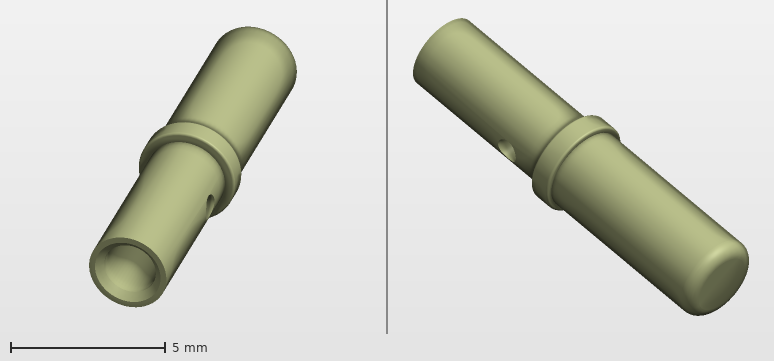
import cadquery as cq
import math

TOTAL_LENGTH = 13.36
FRONT_Y = -TOTAL_LENGTH / 2
SLEEVE_DIAMETER = 2.65
SLEEVE_LENGTH = 6.0
COLLAR_DIAMETER = 3.3
COLLAR_LENGTH = 0.76
COLLAR_EDGE_RADIUS = 0.08
BARREL_DIAMETER = 2.89
BARREL_TIP_RADIUS = 0.43
BORE_DIAMETER = 1.76
BORE_DEPTH = 5.5
DRILL_POINT_ANGLE = 118.0
MOUTH_DIAMETER = 2.25
MOUTH_DEPTH = (MOUTH_DIAMETER - BORE_DIAMETER) / 2
INSPECTION_HOLE_DIAMETER = 0.85
INSPECTION_HOLE_SETBACK = 4.5


def cylinder(diameter, start, length):
    """Solid cylinder along +Y, starting this far behind the wire entry face."""
    base = cq.Workplane("XZ", origin=(0, FRONT_Y + start, 0))
    return base.circle(diameter / 2).extrude(-length)


def make_body():
    """Sleeve, collar and round-tipped barrel in a row."""
    barrel_start = SLEEVE_LENGTH + COLLAR_LENGTH
    sleeve = cylinder(SLEEVE_DIAMETER, 0, SLEEVE_LENGTH)
    collar = cylinder(COLLAR_DIAMETER, SLEEVE_LENGTH, COLLAR_LENGTH)
    collar = collar.edges("%CIRCLE").fillet(COLLAR_EDGE_RADIUS)
    barrel = cylinder(BARREL_DIAMETER, barrel_start, TOTAL_LENGTH - barrel_start)
    barrel = barrel.faces(">Y").edges().fillet(BARREL_TIP_RADIUS)
    return sleeve.union(collar).union(barrel)


def make_wire_bore():
    """Blind bore with a flared mouth and a conical drill-point bottom."""
    bore_radius = BORE_DIAMETER / 2
    bore_end = FRONT_Y + BORE_DEPTH
    point_depth = bore_radius / math.tan(math.radians(DRILL_POINT_ANGLE / 2))
    half_section = (
        cq.Workplane("XY")
        .moveTo(0, FRONT_Y)
        .lineTo(MOUTH_DIAMETER / 2, FRONT_Y)
        .lineTo(bore_radius, FRONT_Y + MOUTH_DEPTH)
        .lineTo(bore_radius, bore_end)
        .lineTo(0, bore_end + point_depth)
        .close()
    )
    return half_section.revolve(360, (0, 0, 0), (0, 1, 0))


def make_inspection_hole():
    """Radial hole through the +X wall of the sleeve into the bore."""
    hole_y = FRONT_Y + INSPECTION_HOLE_SETBACK
    axis_plane = cq.Workplane("YZ", origin=(0, hole_y, 0))
    return axis_plane.circle(INSPECTION_HOLE_DIAMETER / 2).extrude(SLEEVE_DIAMETER)


result = make_body().cut(make_wire_bore()).cut(make_inspection_hole())